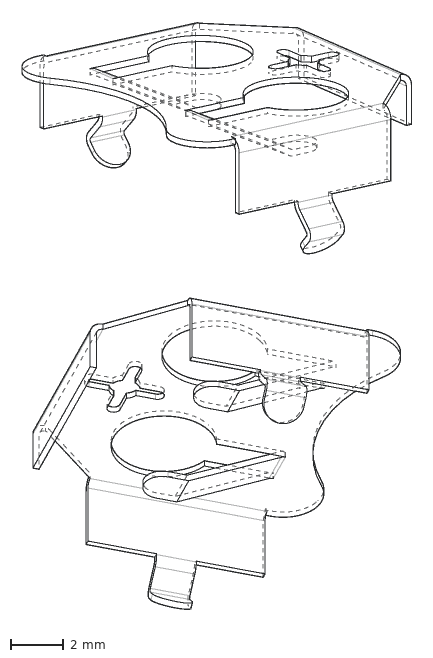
import cadquery as cq
import math

thickness = 0.25
mid_z = -thickness / 2
bend_outer_radius = 0.515
bend_mid_radius = bend_outer_radius - thickness / 2

clip_half_span = 7.435
rear_y = 6.70
front_y = -5.36
total_depth = 5.27

flange_length = 7.15
side_flange_x = 6.605
side_flange_depth = 3.0
rear_flange_depth = 2.11

lobe_half_span = 6.36
lobe_radius = 1.57
front_arc_apex_y = -3.77

window_x = 3.17
window_y = 1.54
window_diameter = 4.06
slot_width = 1.53
slot_end_y = -3.115

tongue_width = 1.49
tongue_slope = 27.0
tongue_bend_mid_radius = 0.5
tongue_fold_y = 0.81
tongue_tip_y = 2.355

cross_y = 4.16
cross_span = 3.19
cross_arm_width = 0.51
cross_hub_diameter = 1.2

clip_width = 1.6
clip_angle = 45.0
clip_neck = 0.04
clip_upper_mid_radius = 0.505
clip_lower_mid_radius = 0.25


def direction(angle):
    return math.cos(math.radians(angle)), math.sin(math.radians(angle))


def shifted(point, angle, distance):
    dx, dy = direction(angle)
    return point[0] + dx * distance, point[1] + dy * distance


def bent_strip(frame, start, heading, moves, width, round_tip=False):
    """Sheet strip centred on the frame plane, following a mid-line of straights and bends.

    Each move is ("straight", length), ("bend", turn angle, mid radius) or ("fold", turn angle);
    a fold is a sharp mitred corner. Positive angles turn counter-clockwise in the frame.
    """
    half = thickness / 2
    point = start
    left = [(None, shifted(point, heading + 90, half))]
    right = [(None, shifted(point, heading - 90, half))]
    for kind, amount, *radius in moves:
        if kind == "straight":
            point = shifted(point, heading, amount)
            left.append((None, shifted(point, heading + 90, half)))
            right.append((None, shifted(point, heading - 90, half)))
        elif kind == "bend":
            side = math.copysign(90, amount)
            center = shifted(point, heading + side, radius[0])
            middle = heading + amount / 2
            via = shifted(center, middle - side, radius[0])
            heading += amount
            point = shifted(center, heading - side, radius[0])
            left.append((shifted(via, middle + 90, half), shifted(point, heading + 90, half)))
            right.append((shifted(via, middle - 90, half), shifted(point, heading - 90, half)))
        else:
            middle = heading + amount / 2
            miter = half / math.cos(math.radians(amount / 2))
            left[-1] = (left[-1][0], shifted(point, middle + 90, miter))
            right[-1] = (right[-1][0], shifted(point, middle - 90, miter))
            heading += amount

    outline = cq.Workplane(frame).moveTo(*left[0][1])
    for via, end in left[1:]:
        outline = outline.threePointArc(via, end) if via else outline.lineTo(*end)
    outline = outline.lineTo(*right[-1][1])
    for i in range(len(right) - 1, 0, -1):
        via = right[i][0]
        end = right[i - 1][1]
        outline = outline.threePointArc(via, end) if via else outline.lineTo(*end)
    strip = outline.close().extrude(width / 2, both=True)
    if round_tip:
        strip = strip.union(half_disc(frame, point, heading, width / 2))
    return strip


def half_disc(frame, point, heading, radius):
    """Rounded end of a strip whose mid-line stops at the given point and heading."""
    origin = frame.toWorldCoords(point)
    forward = frame.toWorldCoords(shifted(point, heading, 1)) - origin
    leaf_plane = cq.Plane(origin=origin, xDir=forward, normal=forward.cross(frame.zDir))
    return (
        cq.Workplane(leaf_plane)
        .moveTo(0, radius)
        .threePointArc((radius, 0), (0, -radius))
        .close()
        .extrude(thickness / 2, both=True)
    )


def plate():
    bend_x = side_flange_x - bend_outer_radius
    bend_y = rear_y - bend_outer_radius
    half_flange = flange_length / 2
    lobe_x = lobe_half_span - lobe_radius
    lobe_y = front_y + lobe_radius

    rise = front_arc_apex_y - lobe_y
    arc_radius = (lobe_x**2 + rise**2 - lobe_radius**2) / (2 * (lobe_radius + rise))
    arc_center_y = front_arc_apex_y - arc_radius
    share = lobe_radius / (lobe_radius + arc_radius)
    touch_x = lobe_x * (1 - share)
    touch_y = lobe_y + (arc_center_y - lobe_y) * share

    return (
        cq.Workplane("XY")
        .moveTo(-half_flange, bend_y)
        .lineTo(half_flange, bend_y)
        .lineTo(bend_x, half_flange)
        .lineTo(bend_x, -half_flange)
        .lineTo(lobe_half_span, -half_flange)
        .lineTo(lobe_half_span, lobe_y)
        .threePointArc((lobe_x, front_y), (touch_x, touch_y))
        .threePointArc((0, front_arc_apex_y), (-touch_x, touch_y))
        .threePointArc((-lobe_x, front_y), (-lobe_half_span, lobe_y))
        .lineTo(-lobe_half_span, -half_flange)
        .lineTo(-bend_x, -half_flange)
        .lineTo(-bend_x, half_flange)
        .close()
        .extrude(-thickness)
    )


def window_cutter(x):
    slot_length = window_y - slot_end_y
    window = cq.Workplane("XY").center(x, window_y).circle(window_diameter / 2).extrude(-thickness)
    slot = (
        cq.Workplane("XY")
        .center(x, window_y - slot_length / 2)
        .rect(slot_width, slot_length)
        .extrude(-thickness)
    )
    return window.union(slot)


def cross_cutter():
    base = cq.Workplane("XY").center(0, cross_y)
    cutter = base.circle(cross_hub_diameter / 2).extrude(-thickness)
    for angle in (0, 90):
        cutter = cutter.union(base.slot2D(cross_span, cross_arm_width, angle).extrude(-thickness))
    return cutter


def flange(frame, outer_face, depth):
    moves = [
        ("bend", -90, bend_mid_radius),
        ("straight", depth - bend_outer_radius),
    ]
    return bent_strip(frame, (outer_face - bend_outer_radius, mid_z), 0, moves, flange_length)


def tongue(x):
    slope_cosine, slope_sine = direction(tongue_slope)
    slope_run = tongue_fold_y - slot_end_y - tongue_bend_mid_radius * slope_sine
    tip_straight = tongue_tip_y - tongue_fold_y - tongue_width / 2
    moves = [
        ("bend", -tongue_slope, tongue_bend_mid_radius),
        ("straight", slope_run / slope_cosine),
        ("fold", tongue_slope),
        ("straight", tip_straight),
    ]
    frame = cq.Plane(origin=(x, 0, 0), xDir=(0, 1, 0), normal=(1, 0, 0))
    return bent_strip(frame, (slot_end_y, mid_z), 0, moves, tongue_width, round_tip=True)


def clip(frame):
    cosine, sine = direction(clip_angle)
    start_x = side_flange_x - thickness / 2
    bend_radii = clip_upper_mid_radius + clip_lower_mid_radius
    outward_run = clip_half_span - thickness / 2 - start_x - bend_radii * (1 - cosine)
    outward_length = outward_run / sine
    bends_drop = (clip_upper_mid_radius + 2 * clip_lower_mid_radius) * sine
    inward_drop = (
        total_depth - side_flange_depth - clip_neck - bends_drop
        - outward_length * cosine - thickness / 2 * sine
    )
    moves = [
        ("straight", clip_neck),
        ("bend", clip_angle, clip_upper_mid_radius),
        ("straight", outward_length),
        ("bend", -2 * clip_angle, clip_lower_mid_radius),
        ("straight", inward_drop / cosine - clip_width / 2),
    ]
    return bent_strip(frame, (start_x, -side_flange_depth), -90, moves, clip_width, round_tip=True)


result = plate().cut(cross_cutter())
for x in (-window_x, window_x):
    result = result.cut(window_cutter(x))
    result = result.union(tongue(x))

result = result.union(flange(cq.Plane.named("YZ"), rear_y, rear_flange_depth))

side_frame = cq.Plane.named("XZ")
right_side = flange(side_frame, side_flange_x, side_flange_depth).union(clip(side_frame))
result = result.union(right_side).union(right_side.mirror("YZ"))